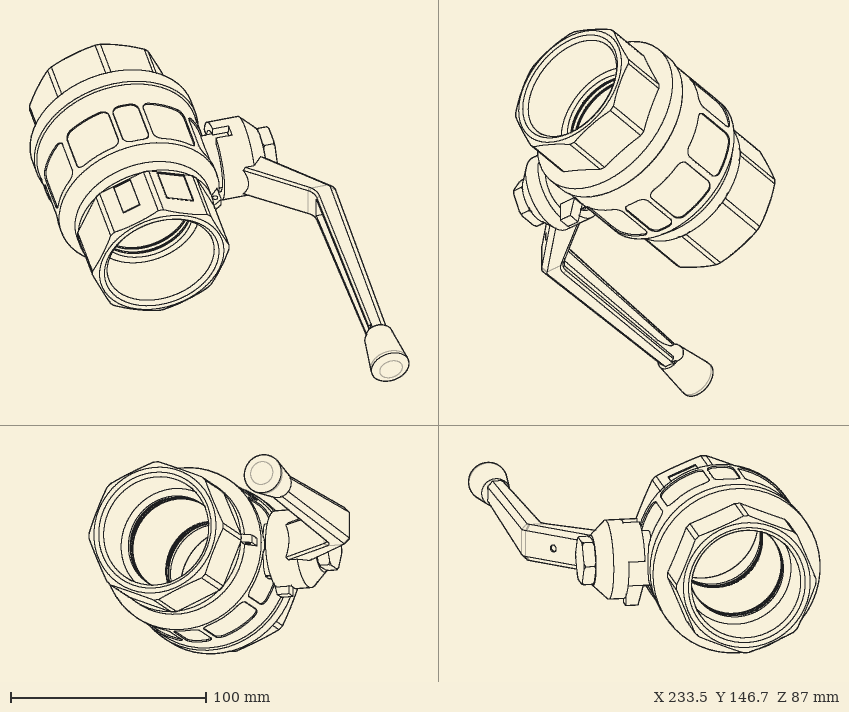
import cadquery as cq
import math


body_half_length = 63.7
flange_radius = 43.5
flange_rim_start = -34.2
flange_rim_end = -25.6
flange_face_start = -37.0
flange_face_radius = 33.8
body_radius = 42.5
shoulder_chamfer = 1.0
body_end = 19.4
neck_start = 26.5
neck_end = 32.9
neck_radius = 36.0

octagon_sides = 8
octagon_apothem = 34.0
octagon_corner_radius = 36.25
end_face_radius = 33.0
end_chamfer_length = 1.7

mouth_radius = 30.4
thread_radius = 28.4
thread_depth = 30.0
port_radius = 24.5
seat_groove_depth = 0.8
seat_groove_width = 1.2
seat_groove_positions = (27.0, 30.3)

panel_start = -10.3
panel_end = 16.1
panel_depth = 0.8
panel_corner_radius = 4.0
wide_panel_span = 34.8
narrow_panel_span = 18.4
wide_panel_angles = (29.9, 69.6)

pad_inset = 0.5
pad_length = 18.8
pad_depth = 0.6
rear_pad_width = 15.3
front_pad_width = 9.4
pad_tilt = 180.0 / octagon_sides

eyelet_thickness = 4.0
eyelet_top = 40.8
eyelet_end = 29.5
eyelet_hole_position = (27.5, 38.1)
eyelet_hole_diameter = 2.6

gland_radius = 14.0
cap_radius = 20.35
skirt_inner_radius = 16.0
skirt_bottom = 45.1
skirt_top = 53.5
cap_shoulder = 61.4
cap_top = 69.2
cap_top_radius = 12.9
slot_width = 6.8
lug_width = 6.6
lug_top = 52.1
lug_reach = 24.0
lug_tip_bottom = 45.7
lug_root_bottom = 43.0
nut_radius = 12.85
nut_height = 6.2
nut_chamfer = 0.8

arm_top = 97.9
arm_bend_x = 40.9
arm_root_x = 5.0
arm_slope = 0.969
arm_end = 143.0
arm_end_bottom = 88.9
under_bend = (43.5, 86.7)
under_root = (10.8, 45.8)
outer_bend_radius = 5.0
inner_bend_radius = 8.0
arm_half_width_at_root = 9.4
arm_half_width_at_bend = 9.6
arm_half_width_at_end = 6.5
arm_top_chamfer = 2.8
arm_bottom_chamfer = 1.3
dimple_height = 84.4
dimple_diameter = 3.6
dimple_depth = 1.0
arm_face_min_tilt = 0.3

channel_start = 46.0
channel_floor = 93.0
channel_end = 132.6
channel_start_half_width = 5.9
channel_end_half_width = 3.7
scoop_flare = 141.0
scoop_end = 145.3

knob_axis_y = 93.23
knob_start = 140.3
knob_neck_radius = 4.8
knob_shoulder = 143.5
knob_shoulder_radius = 7.4
knob_rim_start = 165.6
knob_radius = 10.0
knob_rim_end = 167.3
knob_end = 169.8
knob_face_radius = 6.0
knob_face_start = 168.9


def revolve_about_x(points):
    return cq.Workplane("XY").polyline(points).close().revolve(360, (0, 0, 0), (1, 0, 0))


def cylinder_along_y(radius, start, end):
    return cq.Workplane("XZ", origin=(0, start, 0)).circle(radius).extrude(start - end)


def make_barrel():
    return revolve_about_x([
        (flange_face_start, 0),
        (flange_face_start, flange_face_radius),
        (flange_rim_start, flange_radius),
        (flange_rim_end, flange_radius),
        (flange_rim_end + shoulder_chamfer, body_radius),
        (body_end, body_radius),
        (neck_start, neck_radius),
        (neck_end, neck_radius),
        (neck_end, 0),
    ])


def make_octagon_end(side, inner_end):
    """Octagonal end on the -X (-1) or +X (+1) side, with rounded corners and a coned face."""
    length = body_half_length - inner_end
    circumscribed = 2 * octagon_apothem / math.cos(math.pi / octagon_sides)
    bar = (
        cq.Workplane("YZ", origin=(side * inner_end, 0, 0))
        .polygon(octagon_sides, circumscribed)
        .extrude(side * length)
    )
    envelope = revolve_about_x([
        (side * inner_end, 0),
        (side * inner_end, octagon_corner_radius),
        (side * (body_half_length - end_chamfer_length), octagon_corner_radius),
        (side * body_half_length, end_face_radius),
        (side * body_half_length, 0),
    ])
    return bar.intersect(envelope)


def make_panel(angle, span):
    """Shallow rounded recess centred at `angle` degrees from +Z, turning toward -Y."""
    length = panel_end - panel_start
    width = 2 * body_radius * math.sin(math.radians(span / 2))
    block = (
        cq.Workplane("XY")
        .center((panel_start + panel_end) / 2, 0)
        .rect(length, width)
        .extrude(2 * body_radius)
        .edges("|Z")
        .fillet(panel_corner_radius)
    )
    core = cq.Workplane("YZ", origin=(panel_start, 0, 0)).circle(body_radius - panel_depth).extrude(length)
    return block.rotate((0, 0, 0), (1, 0, 0), angle).cut(core)


def cut_panels(body):
    for base in (0, 180):
        body = body.cut(make_panel(base, narrow_panel_span))
        for offset in wide_panel_angles:
            for side in (-1, 1):
                body = body.cut(make_panel(base + side * offset, wide_panel_span))
    return body


def make_pad_cutter(tilt, width):
    """Rectangular recess next to the neck, in the octagon face tilted from +Z."""
    return (
        cq.Workplane("XY", origin=(neck_end + pad_inset + pad_length / 2, 0, octagon_apothem - pad_depth))
        .rect(pad_length, width)
        .extrude(2 * pad_depth)
        .rotate((0, 0, 0), (1, 0, 0), tilt)
    )


def make_bore():
    half = body_half_length
    inner = half - thread_depth
    mouth_chamfer = mouth_radius - thread_radius
    bore = revolve_about_x([
        (-half, 0),
        (-half, mouth_radius),
        (-half + mouth_chamfer, thread_radius),
        (-inner, thread_radius),
        (-inner, port_radius),
        (inner, port_radius),
        (inner, thread_radius),
        (half - mouth_chamfer, thread_radius),
        (half, mouth_radius),
        (half, 0),
    ])
    for position in seat_groove_positions:
        for side in (-1, 1):
            groove = (
                cq.Workplane("YZ", origin=(side * position - seat_groove_width / 2, 0, 0))
                .circle(port_radius + seat_groove_depth)
                .extrude(seat_groove_width)
            )
            bore = bore.union(groove)
    return bore


def make_eyelet():
    return (
        cq.Workplane("XY", origin=(0, 0, -eyelet_thickness / 2))
        .polyline([
            (body_end, octagon_apothem),
            (body_end, eyelet_top),
            (eyelet_end, eyelet_top),
            (neck_end, neck_radius),
            (neck_end, octagon_apothem),
        ])
        .close()
        .extrude(eyelet_thickness)
        .cut(cq.Workplane("XY", origin=(0, 0, -eyelet_thickness))
             .center(*eyelet_hole_position)
             .circle(eyelet_hole_diameter / 2)
             .extrude(2 * eyelet_thickness))
    )


def make_gland():
    gland = cylinder_along_y(gland_radius, neck_radius, skirt_top)
    lug = (
        cq.Workplane("YZ", origin=(-lug_width / 2, 0, 0))
        .polyline([
            (neck_radius, 0),
            (lug_top, 0),
            (lug_top, -lug_reach),
            (lug_tip_bottom, -lug_reach),
            (lug_root_bottom, -gland_radius),
            (neck_radius, -gland_radius),
        ])
        .close()
        .extrude(lug_width)
    )
    return gland.union(lug)


def make_cap():
    cap = (
        cq.Workplane("XY")
        .polyline([
            (0, skirt_top),
            (skirt_inner_radius, skirt_top),
            (skirt_inner_radius, skirt_bottom),
            (cap_radius, skirt_bottom),
            (cap_radius, cap_shoulder),
            (cap_top_radius, cap_top),
            (0, cap_top),
        ])
        .close()
        .revolve(360, (0, 0, 0), (0, 1, 0))
    )
    skirt_height = skirt_top - skirt_bottom
    half_slot = slot_width / 2
    window = cq.Workplane("XY").box(cap_radius * 2, skirt_height, cap_radius * 2, centered=False)
    window = window.translate((half_slot - 2 * cap_radius, skirt_bottom, half_slot - 2 * cap_radius))
    slot = cq.Workplane("XY").box(slot_width, skirt_height, 2 * cap_radius, centered=False)
    slot = slot.translate((-half_slot, skirt_bottom, 0))
    return cap.cut(window).cut(slot)


def make_nut():
    hexagon = (
        cq.Workplane("XZ", origin=(0, cap_top, 0))
        .polygon(6, 2 * nut_radius)
        .extrude(-nut_height)
    )
    envelope = cylinder_along_y(nut_radius, cap_top, cap_top + nut_height).edges().chamfer(nut_chamfer)
    return hexagon.intersect(envelope)


def make_channel_profile():
    """Side profile of the hollow under the lever, ending in an arc that sweeps down."""
    run = scoop_end - channel_end
    knob_underside = knob_axis_y - knob_shoulder_radius
    drop = channel_floor - knob_underside
    radius = (run ** 2 + drop ** 2) / (2 * drop)
    half_sweep = math.asin(run / radius) / 2
    middle = (
        channel_end + radius * math.sin(half_sweep),
        channel_floor - radius * (1 - math.cos(half_sweep)),
    )
    depth_limit = knob_axis_y - 2 * knob_radius
    return (
        cq.Workplane("XY", origin=(0, 0, -knob_radius))
        .moveTo(channel_start, channel_floor)
        .lineTo(channel_end, channel_floor)
        .threePointArc(middle, (scoop_end, knob_underside))
        .lineTo(scoop_end, depth_limit)
        .lineTo(channel_start, depth_limit)
        .close()
        .extrude(2 * knob_radius)
    )


def tapered_plan(start, start_half_width, end, end_half_width):
    """Tall block whose width along Z shrinks from `start` to `end`."""
    return (
        cq.Workplane("XZ")
        .polyline([
            (start, -start_half_width),
            (end, -end_half_width),
            (end, end_half_width),
            (start, start_half_width),
        ])
        .close()
        .extrude(-2 * arm_top)
    )


def make_arm_blank():
    root_top = arm_top - arm_slope * (arm_bend_x - arm_root_x)
    arm = (
        cq.Workplane("XY", origin=(0, 0, -2 * knob_radius))
        .polyline([
            (arm_root_x, root_top),
            (arm_bend_x, arm_top),
            (arm_end, arm_top),
            (arm_end, arm_end_bottom),
            under_bend,
            under_root,
            (arm_root_x, under_root[1]),
        ])
        .close()
        .extrude(4 * knob_radius)
    )
    arm = arm.edges(cq.selectors.NearestToPointSelector((arm_bend_x, arm_top, 0))).fillet(outer_bend_radius)
    arm = arm.edges(cq.selectors.NearestToPointSelector((*under_bend, 0))).fillet(inner_bend_radius)
    plan = (
        cq.Workplane("XZ")
        .moveTo(arm_end, 0)
        .lineTo(arm_end, arm_half_width_at_end)
        .lineTo(arm_bend_x, arm_half_width_at_bend)
        .tangentArcPoint((arm_root_x, arm_half_width_at_root), relative=False)
        .lineTo(arm_root_x, 0)
        .close()
        .extrude(-2 * arm_top)
    )
    plan = plan.union(plan.mirror("XY"))
    return arm.intersect(plan)


def side_edges(arm, direction):
    """Both side edges of the faces looking up (+1) or down (-1) between the cap and the knob."""
    edges = []
    for face in arm.faces().vals():
        looks_that_way = direction * face.normalAt().y > arm_face_min_tilt
        if looks_that_way and face.Center().x > under_root[0]:
            edges += [edge for edge in face.Edges() if abs(edge.Center().z) > arm_top_chamfer]
    return edges


def make_arm():
    arm = make_arm_blank()
    arm = arm.newObject(side_edges(arm, 1)).chamfer(arm_top_chamfer)
    arm = arm.newObject(side_edges(arm, -1)).chamfer(arm_bottom_chamfer)
    dimple_x = arm_bend_x - (arm_top - dimple_height) / arm_slope
    dimple = (
        cq.Workplane(cq.Plane(
            origin=(dimple_x, dimple_height, 0),
            xDir=(0, 0, 1),
            normal=(arm_slope, -1, 0),
        ))
        .circle(dimple_diameter / 2)
        .extrude(dimple_depth)
    )
    return arm.cut(dimple)


def make_knob():
    return (
        cq.Workplane("XY")
        .moveTo(knob_start, knob_axis_y)
        .lineTo(knob_start, knob_axis_y + knob_neck_radius)
        .lineTo(knob_shoulder, knob_axis_y + knob_shoulder_radius)
        .lineTo(knob_rim_start, knob_axis_y + knob_radius)
        .lineTo(knob_rim_end, knob_axis_y + knob_radius)
        .lineTo(knob_face_start, knob_axis_y + knob_face_radius)
        .lineTo(knob_end, knob_axis_y)
        .close()
        .revolve(360, (0, knob_axis_y, 0), (1, knob_axis_y, 0))
    )


def make_lever():
    channel_plan = (
        tapered_plan(channel_start, channel_start_half_width, scoop_end, channel_end_half_width)
        .union(tapered_plan(scoop_flare, knob_radius, scoop_end, knob_radius))
    )
    channel = make_channel_profile().intersect(channel_plan)
    return make_arm().union(make_knob()).cut(channel)


valve_body = cut_panels(make_barrel())
valve_body = valve_body.union(make_octagon_end(-1, -flange_rim_start))
valve_body = valve_body.union(make_octagon_end(1, neck_end))
valve_body = valve_body.union(make_eyelet()).union(make_gland()).cut(make_bore())
valve_body = valve_body.cut(make_pad_cutter(-pad_tilt, rear_pad_width))
valve_body = valve_body.cut(make_pad_cutter(pad_tilt, front_pad_width))
result = valve_body.union(make_cap()).union(make_nut()).union(make_lever())